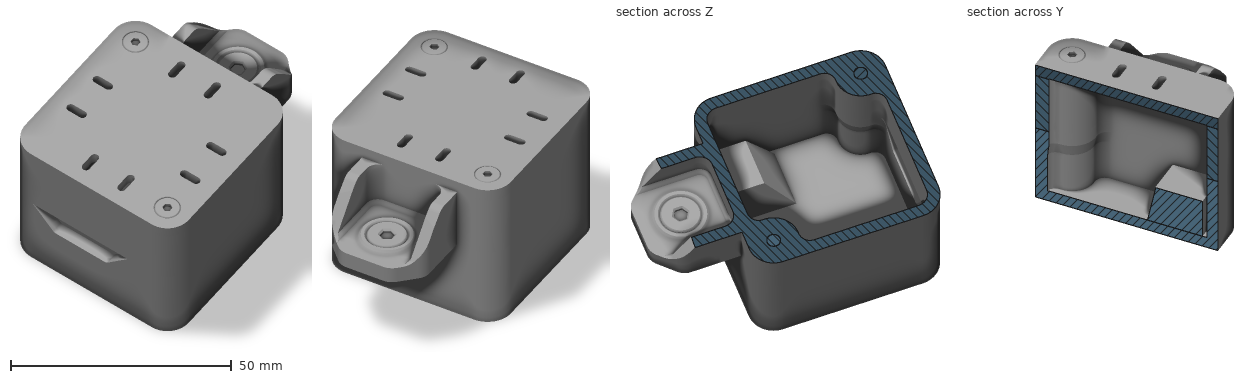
import cadquery as cq
import math

side = 46.0
half_side = side / 2
corner_radius = 6.0
total_height = 38.0
base_height = 20.0
lid_thickness = 3.0
middle_height = total_height - base_height - lid_thickness
lid_bottom = total_height - lid_thickness
wall = 3.0
floor_thickness = wall
cavity_half = half_side - wall
screw_offset = half_side - corner_radius
screw_places = [(-screw_offset, screw_offset), (screw_offset, -screw_offset)]

window_center_x = -3.1
window_top_width = 26.65
window_depth = 6.0
window_bottom_width = window_top_width - 2 * window_depth
window_corner_radius = 1.0

column_radius = 6.0
column_blend_radius = 2.65
column_taper_top = 16.4
column_taper_height = 3.0
column_foot_radius = 5.4

slot_length = 5.3
slot_width = 2.0
slot_spacing = 10.0
side_slot_x = 16.0
side_slot_center_y = -1.9
end_slot_center_x = 0.25
end_slot_y = 16.5
end_slot_center_y = -0.4

screw_shank_diameter = 3.0
screw_head_diameter = 6.0
screw_head_height = 2.0
screw_seat = total_height - screw_head_height
screw_length = 10.0
screw_tip_chamfer = 0.25
screw_socket = 2.0
screw_socket_entry = 0
screw_head_chamfer = 0.25
screw_recess_chamfer = 0.1

lug_length = 66 - side
lug_width = 25.0
lug_tip_y = half_side + lug_length
lug_chamfer = 6.0
lug_corner_radius = 4.0
lug_floor = 4.0
lug_slope_start = 7.0
lug_slope_radius = 3.0
lug_pocket_half = 9.6
lug_pocket_radius = 3.0
lug_pocket_chamfer = 1.0
cheek_lean = 0.18
cheek_lean_start = 10.3
cheek_lean_skew = 0.4

bolt_y = half_side + lug_length / 2
boss_top_radius = 6.0
boss_height = 0.8
boss_foot_radius = 1.0
bolt_shank_diameter = 5.0
bolt_head_diameter = 9.5
bolt_head_height = 2.0
bolt_seat = base_height + 2.85
bolt_length = 10.0
bolt_tip_chamfer = 0.4
bolt_head_chamfer = 0.4
bolt_recess_chamfer = 0.45
bolt_socket = 3.0
bolt_socket_entry = 0.4

block_x = 5.15
block_y = 3.05
block_far = 19.15
block_height = 10.0
block_side_slope = 2.1
block_front_slope = 7.0


def rounded_square(width, radius, height, bottom):
    block = cq.Workplane().workplane(offset=bottom).rect(width, width).extrude(height)
    return block.edges("|Z").fillet(radius)


def cylinder(place, diameter, bottom, top):
    return cq.Workplane().workplane(offset=bottom).center(*place).circle(diameter / 2).extrude(top - bottom)


def cone(place, bottom_radius, top_radius, bottom, top):
    """Solid cone frustum standing on Z."""
    axis_point = cq.Vector(*place, bottom)
    return cq.Workplane(cq.Solid.makeCone(bottom_radius, top_radius, top - bottom, axis_point))


def hex_socket(place, flats, top, depth, entry):
    """Hexagonal recess, two flats square to X, flared at the top by `entry`."""
    corners = flats / math.cos(math.pi / 6)
    plane = cq.Workplane().workplane(offset=top - depth).center(*place).transformed(rotate=(0, 0, 90))
    straight = plane.polygon(6, corners).extrude(depth)
    if entry == 0:
        return straight
    flare = plane.workplane(offset=depth - entry).polygon(6, corners).extrude(entry, taper=-45)
    return straight.union(flare)


def cap_screw(place, shank, head, head_height, seat, length, socket, entry, head_chamfer, tip_chamfer):
    body = cylinder(place, shank, seat - length, seat).faces("<Z").chamfer(tip_chamfer)
    top = seat + head_height
    cap = cylinder(place, head, seat, top).faces(">Z").edges().chamfer(head_chamfer)
    return body.union(cap).cut(hex_socket(place, socket, top, head_height / 2, entry))


def recess_chamfer(place, radius, size, top):
    return cone(place, radius, radius + size, top - size, top)


def column_outline(plan, radius):
    """Plan of the back left column: a round front blended by arcs into the two walls beside it."""
    center_to_wall = cavity_half - screw_offset
    blend_y = center_to_wall - column_blend_radius
    blend_x = math.sqrt((radius + column_blend_radius) ** 2 - blend_y ** 2)
    touch = radius / (radius + column_blend_radius)
    outside = corner_radius
    return (
        plan.center(-screw_offset, screw_offset)
        .moveTo(-outside, outside)
        .lineTo(blend_x, outside)
        .lineTo(blend_x, center_to_wall)
        .radiusArc((touch * blend_x, touch * blend_y), -column_blend_radius)
        .threePointArc(
            (radius * math.sqrt(0.5), -radius * math.sqrt(0.5)),
            (-touch * blend_y, -touch * blend_x),
        )
        .radiusArc((-center_to_wall, -blend_x), -column_blend_radius)
        .lineTo(-outside, -blend_x)
        .close()
    )


def without_columns(space, column):
    """Take the back left column, and its copy in the front right corner, out of a space."""
    opposite = column.rotate((0, 0, 0), (0, 0, 1), 180)
    return space.cut(column).cut(opposite)


def straight_column(radius, bottom, top):
    return column_outline(cq.Workplane().workplane(offset=bottom), radius).extrude(top - bottom)


def tapered_column(bottom, top):
    lower = column_outline(cq.Workplane().workplane(offset=bottom), column_foot_radius)
    upper = lower.center(screw_offset, -screw_offset).workplane(offset=top - bottom)
    return column_outline(upper, column_radius).loft(ruled=True)


def full_space(bottom, top):
    return rounded_square(2 * cavity_half, corner_radius - wall, top - bottom, bottom)


def base_cavity():
    taper_bottom = column_taper_top - column_taper_height
    space = full_space(floor_thickness, base_height)
    space = without_columns(space, straight_column(column_radius, column_taper_top, base_height))
    space = without_columns(space, tapered_column(taper_bottom, column_taper_top))
    return without_columns(space, straight_column(column_foot_radius, floor_thickness, taper_bottom))


def middle_cavity():
    return without_columns(
        full_space(base_height, lid_bottom),
        straight_column(column_radius, base_height, lid_bottom),
    )



def cable_window():
    top_half = window_top_width / 2
    bottom_half = window_bottom_width / 2
    bottom = base_height - window_depth
    return (
        cq.Workplane("XZ", origin=(window_center_x, -half_side, 0))
        .polyline([
            (-top_half, base_height),
            (-bottom_half, bottom),
            (bottom_half, bottom),
            (top_half, base_height),
        ])
        .close()
        .extrude(-wall - corner_radius)
        .edges("|Y and <Z")
        .fillet(window_corner_radius)
    )


def make_base():
    base = rounded_square(side, corner_radius, base_height, 0)
    return base.cut(base_cavity()).cut(cable_window())



def lug_plan():
    """Full-height lug: a rectangle with its outer corners cut at 45 degrees and rounded."""
    half = lug_width / 2
    plan = (
        cq.Workplane()
        .workplane(offset=base_height)
        .moveTo(-half, cavity_half)
        .lineTo(-half, lug_tip_y - lug_chamfer)
        .lineTo(-half + lug_chamfer, lug_tip_y)
        .lineTo(half - lug_chamfer, lug_tip_y)
        .lineTo(half, lug_tip_y - lug_chamfer)
        .lineTo(half, cavity_half)
        .close()
        .extrude(middle_height)
    )
    outer_corners = plan.edges("|Z").edges(cq.selectors.BoxSelector(
        (-side, half_side, 0), (side, lug_tip_y + 0.65, total_height)))
    return plan.newObject(outer_corners.vals()).fillet(lug_corner_radius)


def lug_cheek(sign):
    """One half of the lug as seen along X: plateau, 45-degree slope and thin floor at the tip."""
    half = lug_width / 2
    slope_y = half_side + lug_slope_start
    floor_z = base_height + lug_floor
    cheek = (
        cq.Workplane("YZ")
        .moveTo(cavity_half, base_height)
        .lineTo(cavity_half, lid_bottom)
        .lineTo(slope_y, lid_bottom)
        .lineTo(slope_y + lid_bottom - floor_z, floor_z)
        .lineTo(lug_tip_y, floor_z)
        .lineTo(lug_tip_y, base_height)
        .close()
        .extrude(sign * half)
    )
    slope_top = cq.Vector(sign * half / 2, slope_y, lid_bottom)
    cheek = cheek.edges(cq.selectors.NearestToPointSelector(slope_top)).fillet(lug_slope_radius)

    lean_start = (sign * half, half_side + cheek_lean_start, lid_bottom - cheek_lean_start + lug_slope_start)
    lean_normal = (-sign * cheek_lean * cheek_lean_skew, 1 + cheek_lean, 1)
    level_direction = (1, sign * cheek_lean_skew, -sign * cheek_lean_skew)
    lean_plane = cq.Plane(lean_start, level_direction, lean_normal)
    above_lean = cq.Workplane(lean_plane).rect(2 * side, 2 * side).extrude(side)
    above_floor = cq.Workplane().workplane(offset=floor_z).rect(4 * side, 4 * side).extrude(side)
    cheek = cheek.cut(above_lean.intersect(above_floor))
    slope_foot = cq.Vector(sign * half / 2, slope_y + lid_bottom - floor_z, floor_z)
    return cheek.edges(cq.selectors.NearestToPointSelector(slope_foot)).fillet(lug_slope_radius)


def lug_pocket():
    """Open-ended pocket between the cheeks, chamfered along its floor."""
    return (
        cq.Workplane()
        .workplane(offset=base_height + lug_floor)
        .center(0, half_side + lug_length)
        .rect(2 * lug_pocket_half, 2 * lug_length)
        .extrude(middle_height)
        .edges("|Z and <Y")
        .fillet(lug_pocket_radius)
        .faces("<Z")
        .chamfer(lug_pocket_chamfer)
    )


def bolt_boss():
    """Low 45-degree cone on the lug floor, its foot rounded into the floor."""
    foot_edge = boss_top_radius + boss_height + boss_foot_radius * math.tan(math.pi / 8)
    arc_reach = boss_foot_radius * math.sin(math.pi / 4)
    arc_rise = boss_foot_radius - arc_reach
    return (
        cq.Workplane("XZ", origin=(0, bolt_y, base_height + lug_floor))
        .moveTo(0, 0)
        .lineTo(foot_edge, 0)
        .radiusArc((foot_edge - arc_reach, arc_rise), boss_foot_radius)
        .lineTo(boss_top_radius, boss_height)
        .lineTo(0, boss_height)
        .close()
        .revolve(360, (0, 0, 0), (0, 1, 0))
    )


def bolt_hole():
    place = (0, bolt_y)
    top = base_height + lug_floor + boss_height
    hole = cylinder(place, bolt_shank_diameter, base_height, bolt_seat)
    hole = hole.union(cylinder(place, bolt_head_diameter, bolt_seat, top))
    return hole.union(recess_chamfer(place, bolt_head_diameter / 2, bolt_recess_chamfer, top))


def make_middle():
    lug = lug_cheek(1).union(lug_cheek(-1)).intersect(lug_plan()).cut(lug_pocket())
    lug = lug.union(bolt_boss()).cut(bolt_hole())
    middle = rounded_square(side, corner_radius, middle_height, base_height).union(lug)
    middle = middle.cut(middle_cavity())
    for place in screw_places:
        middle = middle.cut(cylinder(place, screw_shank_diameter, screw_seat - screw_length, lid_bottom))
    return middle



def lid_slots():
    spread = slot_spacing / 2
    plate = cq.Workplane().workplane(offset=lid_bottom)
    side_places = [
        (sign * side_slot_x, side_slot_center_y + offset)
        for sign in (-1, 1)
        for offset in (-spread, spread)
    ]
    end_places = [
        (end_slot_center_x + offset, end_slot_center_y + sign * end_slot_y)
        for sign in (-1, 1)
        for offset in (-spread, spread)
    ]
    side_slots = plate.pushPoints(side_places).slot2D(slot_length, slot_width).extrude(lid_thickness)
    end_slots = plate.pushPoints(end_places).slot2D(slot_length, slot_width, 90).extrude(lid_thickness)
    return side_slots.union(end_slots)


def make_lid():
    lid = rounded_square(side, corner_radius, lid_thickness, lid_bottom).cut(lid_slots())
    for place in screw_places:
        lid = lid.cut(cylinder(place, screw_shank_diameter, lid_bottom, screw_seat))
        lid = lid.cut(cylinder(place, screw_head_diameter, screw_seat, total_height))
        lid = lid.cut(recess_chamfer(place, screw_head_diameter / 2, screw_recess_chamfer, total_height))
    return lid



def make_corner_screw(place):
    return cap_screw(
        place, screw_shank_diameter, screw_head_diameter, screw_head_height, screw_seat,
        screw_length, screw_socket, screw_socket_entry, screw_head_chamfer, screw_tip_chamfer,
    )


def make_lug_bolt():
    return cap_screw(
        (0, bolt_y), bolt_shank_diameter, bolt_head_diameter, bolt_head_height, bolt_seat,
        bolt_length, bolt_socket, bolt_socket_entry, bolt_head_chamfer, bolt_tip_chamfer,
    )



def sloped_slab(plane, start, slope):
    """Slab with one sloped end, wide enough to cover the block."""
    top = floor_thickness + block_height
    slab = (
        cq.Workplane(plane)
        .moveTo(start, floor_thickness)
        .lineTo(start + slope, top)
        .lineTo(block_far, top)
        .lineTo(block_far, floor_thickness)
        .close()
    )
    return slab.extrude(side, both=True)


def make_inner_block():
    return sloped_slab("XZ", block_x, block_side_slope).intersect(
        sloped_slab("YZ", block_y, block_front_slope))


base = make_base()
middle = make_middle()
lid = make_lid()
corner_screws = [make_corner_screw(place) for place in screw_places]
lug_bolt = make_lug_bolt()
inner_block = make_inner_block()

result = cq.Compound.makeCompound([
    base.val(),
    middle.val(),
    lid.val(),
    *[screw.val() for screw in corner_screws],
    lug_bolt.val(),
    inner_block.val(),
])